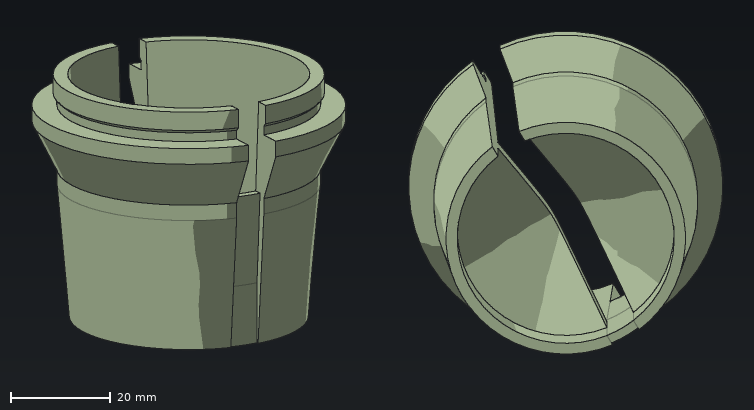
import cadquery as cq

flange_radius = 31.6
collar_radius = 27.3
neck_radius = 26.6
foot_radius = 24.1

total_height = 50.8
collar_bottom_z = 46.95
neck_top_z = 46.25
flange_top_z = 44.4
flange_bottom_z = 41.1
band_top_z = 31.05
band_bottom_z = 27.85

bore_radius = 21.8
rim_bore_radius = 24.35
bore_taper_start_z = 12.65

floor_rim_bottom_z = 6.4
floor_rim_top_z = 11.2
floor_rise = 20.25
floor_overlap = 0.65

slot_width = 6.2
web_top_z = 31.75
web_thickness = 1.85


def bore_radius_at(z):
    """Radius of the tapered part of the bore at height z."""
    taper = (rim_bore_radius - bore_radius) / (total_height - bore_taper_start_z)
    return bore_radius + taper * (z - bore_taper_start_z)


def revolve_profile(points):
    """Turn a closed (radius, z) outline about the Z axis."""
    return cq.Workplane("XZ").polyline(points).close().revolve(360, (0, 0, 0), (0, 1, 0))


def make_wall():
    """Flanged, tapered sleeve with its open bore."""
    return revolve_profile([
        (bore_radius, 0),
        (foot_radius, 0),
        (neck_radius, band_bottom_z),
        (neck_radius, band_top_z),
        (flange_radius, flange_bottom_z),
        (flange_radius, flange_top_z),
        (neck_radius, flange_top_z),
        (neck_radius, neck_top_z),
        (collar_radius, collar_bottom_z),
        (collar_radius, total_height),
        (rim_bore_radius, total_height),
        (bore_radius, bore_taper_start_z),
    ])


def make_floor():
    """Conical shell of even vertical thickness; its rim runs slightly into the wall."""
    outer_radius = bore_radius + floor_overlap
    rim_drop = floor_overlap * floor_rise / bore_radius
    return revolve_profile([
        (0, floor_rim_bottom_z + floor_rise),
        (outer_radius, floor_rim_bottom_z - rim_drop),
        (outer_radius, floor_rim_top_z - rim_drop),
        (0, floor_rim_top_z + floor_rise),
    ])


def make_slot():
    """Full-height slab along X that separates the two halves."""
    return cq.Workplane("XY").box(
        2 * flange_radius + slot_width, slot_width, total_height, centered=(True, True, False)
    )


def make_web(slot):
    """Thin strip of the bore lining that spans the slot on the +X side."""
    web_top_radius = bore_radius_at(web_top_z)
    ring = revolve_profile([
        (bore_radius, 0),
        (bore_radius + web_thickness, 0),
        (bore_radius + web_thickness, bore_taper_start_z),
        (web_top_radius + web_thickness, web_top_z),
        (web_top_radius, web_top_z),
        (bore_radius, bore_taper_start_z),
    ])
    positive_x_side = cq.Workplane("XY").box(
        flange_radius, slot_width, total_height, centered=(False, True, False)
    )
    return ring.intersect(slot).intersect(positive_x_side)


slot = make_slot()
halves = make_wall().union(make_floor()).cut(slot)
result = halves.union(make_web(slot), clean=False)